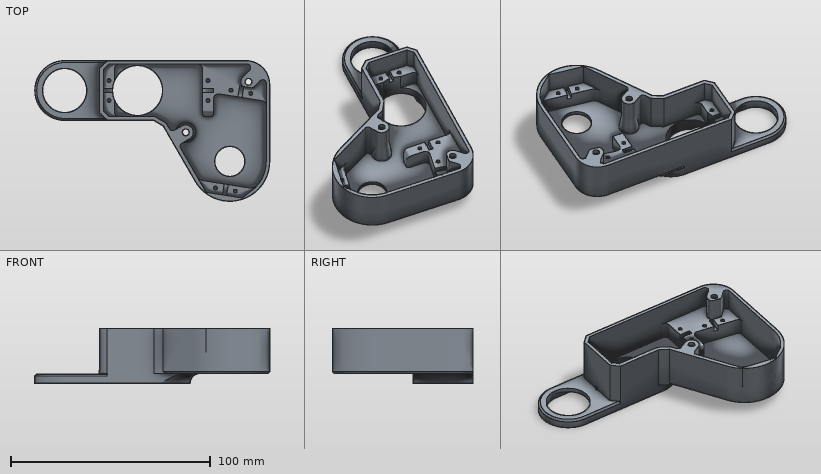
import cadquery as cq
import math

total_length = 117.7
total_height = 27.5
total_width = 70.5
box_bottom = 5.0
floor_top = 7.0
pad_top = 15.7
edge_chamfer = 1.0

arm_width = 30.0
arm_radius = arm_width / 2
arm_height = 4.7
arm_end_x = 47.8
flare_radius = box_bottom
ring_bore = 22.0
channel_depth = 2.5

box_left = 17.5
box_right = total_length - arm_radius
left_chamfer = 3.8
round_radius = 20.0
corner_radius = 12.0
kink_start_x = 44.6
wall = 1.8
front_wall = 2.0
inner_chamfer = 2.8
round_start = -50.0

shaft_offset = 10.5
servo_1 = (36.5, 0.0, 0.0)
servo_2 = (box_right - round_radius, arm_radius - total_width + round_radius, 81.0)
shaft_bore_1 = 25.0
shaft_bore_2 = 15.0
body_half = 44.1 / 2
flange_half = 55.2 / 2
flange_end_half = 9.0
flange_hole_half = 49.5 / 2
flange_hole_side = 10.0 / 2
flange_hole = 1.9
flange_hole_depth = 5.9
rib_slot_width = 2.1
rib_slot_depth = 3.0

seat_tip_radius = 3.0
seat_corner_radius = 1.4
pocket_radius = 2.5
end_seat_radius = 5.0
seat_reach = 14.1

boss_radius = 3.8
screw_hole = 3.3
corner_boss = (92.0, 4.4)
front_boss = (60.6, -21.0)
corner_web_angle = 45
boss_fillet = 1.8
boss_foot_flare = 1.3

key_width = 1.2
key_reach = 0.4
key_height = 1.8

shaft_2 = (servo_2[0], servo_2[1])
slope = math.radians(60)
slope_normal = 210
chamfer_end_x = box_left + left_chamfer
seat_1_x = servo_1[0] + shaft_offset + body_half
seat_tip_x = servo_1[0] + shaft_offset + flange_half
inner_left = servo_1[0] + shaft_offset - flange_half
inner_right = box_right - wall
inner_back = arm_radius - wall
inner_front = front_wall - arm_radius
reach = 47.1


def polar(centre, radius, degrees):
    angle = math.radians(degrees)
    return (centre[0] + radius * math.cos(angle), centre[1] + radius * math.sin(angle))


def front_bend(start, tangent):
    """Corner between the 30 degree run from start and the 60 degree wall through tangent."""
    steep, shallow = math.tan(slope), math.tan(slope / 2)
    x = (tangent[1] + steep * tangent[0] - start[1] - shallow * start[0]) / (steep - shallow)
    return (x, start[1] - shallow * (x - start[0]))


def servo_point(servo, along, across):
    """Point given from the middle of a servo, along and across its length."""
    turn = math.radians(servo[2])
    station = shaft_offset + along
    return (servo[0] + station * math.cos(turn) - across * math.sin(turn),
            servo[1] + station * math.sin(turn) + across * math.cos(turn))


def servo_block(servo, start, end, half_width, bottom, top):
    """Block between two stations along a servo, symmetric about its length."""
    corners = [servo_point(servo, start, -half_width), servo_point(servo, end, -half_width),
               servo_point(servo, end, half_width), servo_point(servo, start, half_width)]
    return cq.Workplane("XY").workplane(offset=bottom).polyline(corners).close().extrude(top - bottom)


def cylinder(centre, radius, bottom, top):
    return cq.Workplane("XY").workplane(offset=bottom).center(*centre).circle(radius).extrude(top - bottom)


def block(x0, x1, y0, y1, z0, z1):
    return cq.Workplane("XY").box(x1 - x0, y1 - y0, z1 - z0, centered=False).translate((x0, y0, z0))


def round_upright(body, place, radius):
    """Round the upright edge nearest to a place in plan."""
    z = body.val().BoundingBox().center.z
    return body.edges("|Z").edges(cq.selectors.NearestToPointSelector((*place, z))).fillet(radius)


def arm():
    arm_length = arm_end_x + 2 * arm_radius
    body = (cq.Workplane("XY").center(arm_end_x / 2, 0).slot2D(arm_length, 2 * arm_radius)
            .extrude(arm_height).faces(">Z").chamfer(edge_chamfer))
    band_top = box_bottom + edge_chamfer
    body = body.union(block(chamfer_end_x, arm_end_x, -arm_radius, arm_radius, 0, band_top))
    middle = math.sqrt(0.5) * flare_radius
    flare = (cq.Workplane("XZ").lineTo(arm_radius, 0)
             .threePointArc((arm_radius + flare_radius - middle, middle),
                            (arm_radius + flare_radius, box_bottom))
             .lineTo(0, box_bottom).close().revolve(360, (0, 0), (0, 1))
             .translate((arm_end_x, 0, 0)))
    strip = block(arm_end_x, arm_end_x + reach, -arm_radius, arm_radius, 0, box_bottom)
    return body.union(flare.intersect(strip))


def box_shell():
    tangent = polar(shaft_2, round_radius, slope_normal)
    kink = (kink_start_x, -arm_radius)
    bend = front_bend(kink, tangent)
    corner = (box_right - corner_radius, arm_radius - corner_radius)
    body = (cq.Workplane("XY").workplane(offset=box_bottom)
            .moveTo(chamfer_end_x, arm_radius)
            .lineTo(box_left, arm_radius - left_chamfer)
            .lineTo(box_left, left_chamfer - arm_radius)
            .lineTo(chamfer_end_x, -arm_radius)
            .lineTo(*kink).lineTo(*bend).lineTo(*tangent)
            .threePointArc(polar(shaft_2, round_radius, (slope_normal + 360) / 2), (box_right, shaft_2[1]))
            .lineTo(box_right, corner[1])
            .threePointArc(polar(corner, corner_radius, 45), (corner[0], arm_radius))
            .close().extrude(total_height - box_bottom))
    slope_middle = ((bend[0] + tangent[0]) / 2, (bend[1] + tangent[1]) / 2, box_bottom)
    return body.edges(cq.selectors.NearestToPointSelector(slope_middle)).chamfer(edge_chamfer)


def boss_web(centre, degrees):
    """Round boss joined to the wall by a web of the same width."""
    web = (cq.Workplane("XY").box(reach / 2, 2 * boss_radius, total_height, centered=(False, True, False))
           .rotate((0, 0, 0), (0, 0, 1), degrees).translate((*centre, 0)))
    return web.union(cylinder(centre, boss_radius, 0, total_height))


def cavity(bottom, top):
    """Inside of the box over a range of heights, with the screw bosses left standing."""
    round_inner = round_radius - wall
    tangent = polar(shaft_2, round_radius - front_wall, slope_normal)
    kink = (kink_start_x + front_wall * math.tan(slope / 4), inner_front)
    bend = front_bend(kink, tangent)
    flange_near = servo_point(servo_2, -flange_half, 0)
    tilt = math.radians(90 - servo_2[2])
    gap = (flange_near[0] - tangent[0]) * math.sin(tilt) + (flange_near[1] - tangent[1]) * math.cos(tilt)
    along_wall = gap / math.cos(slope / 2 + tilt)
    wall_end = (tangent[0] - along_wall * math.cos(slope), tangent[1] + along_wall * math.sin(slope))
    body = (cq.Workplane("XY").workplane(offset=bottom)
            .moveTo(inner_left + inner_chamfer, inner_back)
            .lineTo(inner_left, inner_back - inner_chamfer)
            .lineTo(inner_left, inner_front + inner_chamfer)
            .lineTo(inner_left + inner_chamfer, inner_front)
            .lineTo(*kink).lineTo(*bend).lineTo(*wall_end)
            .lineTo(*servo_point(servo_2, -flange_half, -flange_end_half))
            .lineTo(*polar(shaft_2, round_inner, round_start))
            .threePointArc(polar(shaft_2, round_inner, round_start / 2), (inner_right, shaft_2[1]))
            .lineTo(inner_right, inner_back).close().extrude(top - bottom))
    body = body.cut(boss_web(corner_boss, corner_web_angle)).cut(boss_web(front_boss, slope_normal))

    offset = math.sqrt(2) * boss_radius
    rise = corner_boss[1] - corner_boss[0]
    body = round_upright(body, (inner_back - rise - offset, inner_back), boss_fillet)
    body = round_upright(body, (inner_right, inner_right + rise - offset), boss_fillet)
    web_length = ((front_boss[0] - tangent[0]) * math.sin(slope)
                  + (front_boss[1] - tangent[1]) * math.cos(slope))
    foot = polar(front_boss, web_length, slope_normal)
    for side in (-90, 90):
        body = round_upright(body, polar(foot, boss_radius, slope_normal + side), boss_fillet)
    body = body.union(servo_block(servo_2, -body_half, flange_half, flange_end_half, bottom, top))
    end_middle = servo_point(servo_2, flange_half, 0)
    east, north = corner_boss[0] - end_middle[0], corner_boss[1] - end_middle[1]
    flat_middle = north * math.sin(tilt) - east * math.cos(tilt)
    flat_depth = north * math.cos(tilt) + east * math.sin(tilt)
    flat_half = math.sqrt(boss_radius ** 2 - flat_depth ** 2)
    for across in (flat_middle - flat_half, flat_middle + flat_half):
        body = round_upright(body, servo_point(servo_2, flange_half, across), boss_fillet)
    return body


def pocket():
    """Space for the servo bodies, below the seats."""
    body = cavity(floor_top, pad_top)
    body = body.cut(servo_block(servo_1, -reach, -body_half, reach, 0, pad_top))
    body = body.cut(servo_block(servo_2, -reach, -body_half, reach, 0, pad_top))
    right_of_seat = block(seat_1_x, seat_1_x + reach, -reach, reach, 0, pad_top)
    body = body.cut(servo_block(servo_2, body_half, reach, reach, 0, pad_top).intersect(right_of_seat))
    tip = block(seat_1_x, seat_tip_x, inner_front, inner_back, floor_top, pad_top)
    body = body.cut(tip.faces("<Y").edges("|Z").fillet(seat_corner_radius)
                    .intersect(tip.faces("<Y").edges(">Z").fillet(seat_tip_radius)))
    seat_1_left = servo_point(servo_1, -body_half, 0)[0]
    for place in ((seat_1_left, inner_back), (seat_1_left, inner_front), (seat_1_x, inner_back),
                  servo_point(servo_2, body_half, seat_reach), servo_point(servo_2, body_half, -seat_reach)):
        body = round_upright(body, place, pocket_radius)
    for across in (-seat_reach, seat_reach):
        body = round_upright(body, servo_point(servo_2, -body_half, across), end_seat_radius)
    return body


def servo_mount_cuts(servo):
    """Screw holes and the slot for the flange ribs, in both seats of one servo."""
    slot_floor = pad_top - rib_slot_depth
    cuts = servo_block(servo, -flange_half, flange_half, rib_slot_width / 2, slot_floor, pad_top)
    for along in (-flange_hole_half, flange_hole_half):
        for across in (-flange_hole_side, flange_hole_side):
            place = servo_point(servo, along, across)
            cuts = cuts.union(cylinder(place, flange_hole / 2, pad_top - flange_hole_depth, pad_top))
    return cuts


def boss_foot():
    """Conical foot that widens the front boss from the seat level down to the floor."""
    wide = boss_radius + boss_foot_flare
    return (cq.Workplane("XY").workplane(offset=floor_top).center(*front_boss).circle(wide)
            .workplane(offset=pad_top - floor_top).circle(boss_radius).loft())


result = arm().union(box_shell())
result = result.cut(cavity(pad_top, total_height)).cut(pocket())
result = result.cut(servo_mount_cuts(servo_1)).cut(servo_mount_cuts(servo_2))
result = result.union(boss_foot())

result = result.union(block(box_left - key_reach, box_left, -key_width / 2, key_width / 2,
                            arm_height, arm_height + key_height))

bores = [((0, 0), ring_bore), ((servo_1[0], servo_1[1]), shaft_bore_1), (shaft_2, shaft_bore_2),
         (corner_boss, screw_hole), (front_boss, screw_hole)]
for centre, diameter in bores:
    result = result.cut(cylinder(centre, diameter / 2, 0, total_height))
result = result.cut(block(0, servo_1[0], -ring_bore / 2, ring_bore / 2, 0, channel_depth))